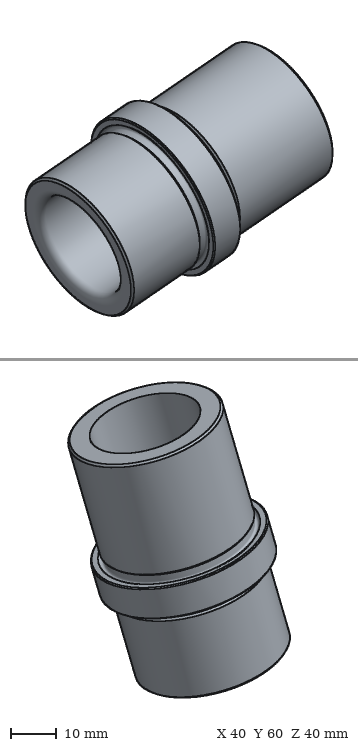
import cadquery as cq
import math


total_length = 60.0
front_length = 22.0
flange_width = 8.0
neck_width = 1.5

barrel_radius = 35.0 / 2
flange_radius = 40.0 / 2
neck_radius = 34.0 / 2
bore_radius = 25.0 / 2

barrel_chamfer = 0.5
flange_chamfer = 0.3
bore_mouth_radius = 2.0

undercut_outer_radius = 18.3
undercut_fillet = 0.5

front_face = -total_length / 2
back_face = total_length / 2
flange_front = front_face + front_length
flange_back = flange_front + flange_width


def cylinder(radius, start, end):
    """Solid cylinder on the Y axis between two axial positions."""
    return cq.Workplane("XZ", origin=(0, start, 0)).circle(radius).extrude(start - end)


def chamfered_cylinder(radius, start, end, chamfer):
    return cylinder(radius, start, end).edges().chamfer(chamfer)


def undercut(face, into_flange):
    """Ring sunk into one flange face: an arc tangent to the neck, then a 45 degree wall.

    into_flange is +1 or -1, the direction along Y from the face into the flange.
    """
    diagonal = undercut_fillet * math.sqrt(0.5)
    arc_centre_radius = neck_radius + undercut_fillet
    wall_foot_radius = arc_centre_radius + diagonal
    wall_foot_depth = undercut_outer_radius - wall_foot_radius
    arc_centre_depth = wall_foot_depth - diagonal
    arc_start = (neck_radius, face + into_flange * arc_centre_depth)
    arc_deepest = (arc_centre_radius, face + into_flange * (arc_centre_depth + undercut_fillet))
    arc_end = (wall_foot_radius, face + into_flange * wall_foot_depth)
    return (
        cq.Workplane("XY")
        .moveTo(neck_radius, face)
        .lineTo(*arc_start)
        .threePointArc(arc_deepest, arc_end)
        .lineTo(undercut_outer_radius, face)
        .close()
        .revolve(360, (0, 0, 0), (0, 1, 0))
    )


def bore():
    """Through bore, flared by a quarter-round at the front mouth."""
    return (
        cq.Workplane("XY")
        .moveTo(0, front_face)
        .lineTo(bore_radius + bore_mouth_radius, front_face)
        .radiusArc((bore_radius, front_face + bore_mouth_radius), bore_mouth_radius)
        .lineTo(bore_radius, back_face)
        .lineTo(0, back_face)
        .close()
        .revolve(360, (0, 0, 0), (0, 1, 0))
    )


front_barrel = chamfered_cylinder(barrel_radius, front_face, flange_front - neck_width, barrel_chamfer)
back_barrel = chamfered_cylinder(barrel_radius, flange_back + neck_width, back_face, barrel_chamfer)
neck = cylinder(neck_radius, flange_front - 2 * neck_width, flange_back + 2 * neck_width)
flange = chamfered_cylinder(flange_radius, flange_front, flange_back, flange_chamfer)

flange = flange.cut(undercut(flange_front, 1)).cut(undercut(flange_back, -1))
result = neck.union(front_barrel).union(back_barrel).union(flange).cut(bore())